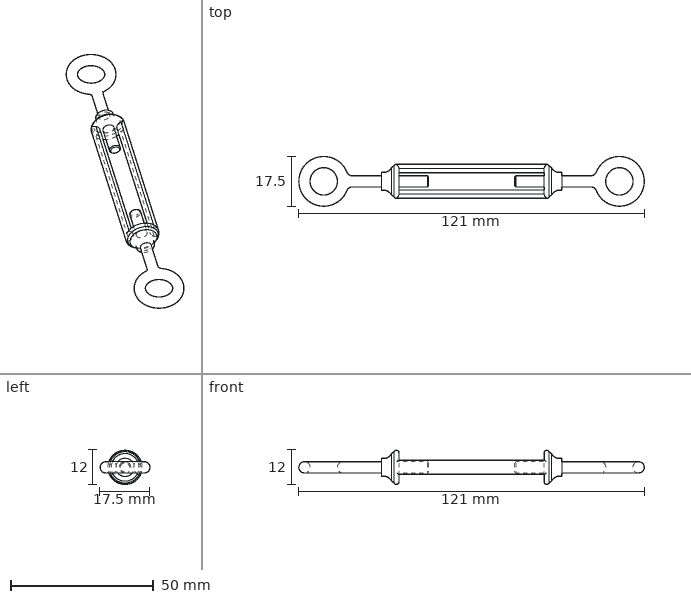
import cadquery as cq
import math

total_length = 121.0

ring_stock_radius = 2.0
rod_radius = 1.99
ring_outer_diameter = 17.5
ring_to_rod_fillet = 2.0
ring_centre_radius = ring_outer_diameter / 2 - ring_stock_radius
ring_centre_x = (total_length - ring_outer_diameter) / 2

rod_tip_x = 15.1
rod_tip_chamfer = 0.4

hub_outer_x = 31.6
hub_inner_x = 25.4
hub_rim_radius = 6.0
hub_neck_radius = 3.2
hub_neck_round = 0.25
neck_end_x = 30.1
bead_radius = 0.9
bead_foot_radius = 5.5
cone_foot_x = 28.0
cone_foot_radius = 4.85
flare_radius = 3.2

bar_inner_y = 3.0
bar_edge_y = 4.5
bar_half_height = 2.5
bar_corner_radius = 1.0
bar_end_x = hub_inner_x + bead_radius


def make_eye_rod():
    """Rod with an eye ring on its outer end, on the +X side."""
    ring = cq.Workplane("XY").add(
        cq.Solid.makeTorus(ring_centre_radius, ring_stock_radius, cq.Vector(ring_centre_x, 0, 0))
    )
    rod_root_x = ring_centre_x - ring_centre_radius
    rod = (
        cq.Workplane("YZ", origin=(rod_tip_x, 0, 0))
        .circle(rod_radius)
        .extrude(rod_root_x - rod_tip_x)
        .faces("<X")
        .chamfer(rod_tip_chamfer)
    )
    eye_rod = ring.union(rod)
    joint_zone = cq.selectors.BoxSelector(
        (rod_root_x - 2 * rod_radius, -2 * rod_radius, -2 * rod_radius),
        (rod_root_x, 2 * rod_radius, 2 * rod_radius),
    )
    return eye_rod.edges(joint_zone).fillet(ring_to_rod_fillet)


def make_hub():
    """Solid hub on the +X side: slim neck, concave flare, short cone and rounded rim."""
    bead_base_radius = hub_rim_radius - bead_radius
    bead_centre_x = hub_inner_x + bead_radius
    bead_foot_rise = bead_foot_radius - bead_base_radius
    bead_foot_x = bead_centre_x + math.sqrt(bead_radius**2 - bead_foot_rise**2)
    profile = (
        cq.Workplane("XY")
        .moveTo(hub_inner_x, 0)
        .lineTo(hub_inner_x, bead_base_radius)
        .threePointArc((bead_centre_x, hub_rim_radius), (bead_foot_x, bead_foot_radius))
        .lineTo(cone_foot_x, cone_foot_radius)
        .radiusArc((neck_end_x, hub_neck_radius), -flare_radius)
        .lineTo(hub_outer_x, hub_neck_radius)
        .lineTo(hub_outer_x, 0)
        .close()
    )
    hub = profile.revolve(360, (0, 0, 0), (1, 0, 0))
    return hub.faces(">X").edges().fillet(hub_neck_round)


def make_side_bar():
    """Bar on the +Y side, running between the rims of both hubs."""
    corner_z = bar_half_height - bar_corner_radius
    corner_y = math.sqrt((hub_rim_radius - bar_corner_radius) ** 2 - corner_z**2)
    rim_to_corner_centre = hub_rim_radius / (hub_rim_radius - bar_corner_radius)
    outer_y = corner_y * rim_to_corner_centre
    outer_z = corner_z * rim_to_corner_centre
    return (
        cq.Workplane("YZ", origin=(-bar_end_x, 0, 0))
        .moveTo(bar_edge_y, -bar_half_height)
        .lineTo(corner_y, -bar_half_height)
        .radiusArc((outer_y, -outer_z), -bar_corner_radius)
        .radiusArc((outer_y, outer_z), -hub_rim_radius)
        .radiusArc((corner_y, bar_half_height), -bar_corner_radius)
        .lineTo(bar_edge_y, bar_half_height)
        .threePointArc((bar_inner_y, 0), (bar_edge_y, -bar_half_height))
        .close()
        .extrude(2 * bar_end_x)
    )


end_assembly = make_eye_rod().union(make_hub())
side_bar = make_side_bar()
result = (
    end_assembly.union(end_assembly.mirror("YZ"))
    .union(side_bar)
    .union(side_bar.mirror("XZ"))
)